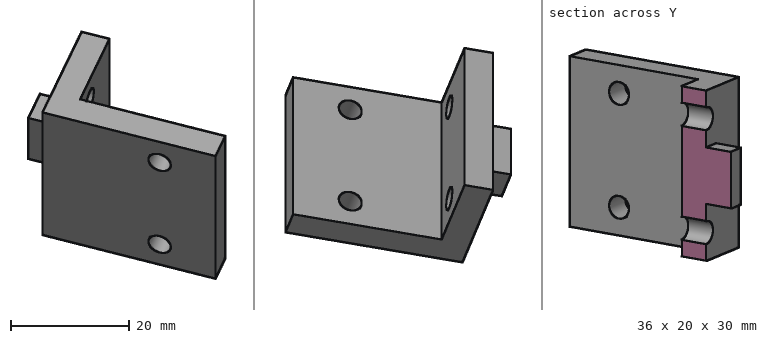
import cadquery as cq

total_length = 36.0
depth = 20.0
height = 30.0

thickness = 5.0
tab_length = 5.0
plate_length = total_length - tab_length

tab_width = 6.0
tab_height = 10.0

hole_diameter = 4.0
hole_spacing = 20.0
hole_to_free_end = 10.0


def make_bracket():
    """L-shaped bracket with its outer corner on the Z axis, centred in height."""
    long_leg = cq.Workplane("XY").box(plate_length, thickness, height, centered=(False, False, True))
    short_leg = cq.Workplane("XY").box(thickness, depth, height, centered=(False, False, True))
    return long_leg.union(short_leg)


def make_tab():
    """Block projecting towards -X from the middle of the short leg."""
    return (
        cq.Workplane("XY")
        .box(tab_length, tab_width, tab_height)
        .translate((-tab_length / 2, depth / 2, 0))
    )


def make_hole_pair(start, direction):
    """Two cutters, one above the other, running through one leg thickness."""
    x, y = start
    cutters = cq.Workplane("XY")
    for z in (-hole_spacing / 2, hole_spacing / 2):
        cutters = cutters.add(
            cq.Solid.makeCylinder(
                hole_diameter / 2, thickness, cq.Vector(x, y, z), cq.Vector(*direction)
            )
        )
    return cutters.combine()


long_leg_holes = make_hole_pair((plate_length - hole_to_free_end, 0), (0, 1, 0))
short_leg_holes = make_hole_pair((0, depth / 2), (1, 0, 0))

result = make_bracket().union(make_tab()).cut(long_leg_holes).cut(short_leg_holes)